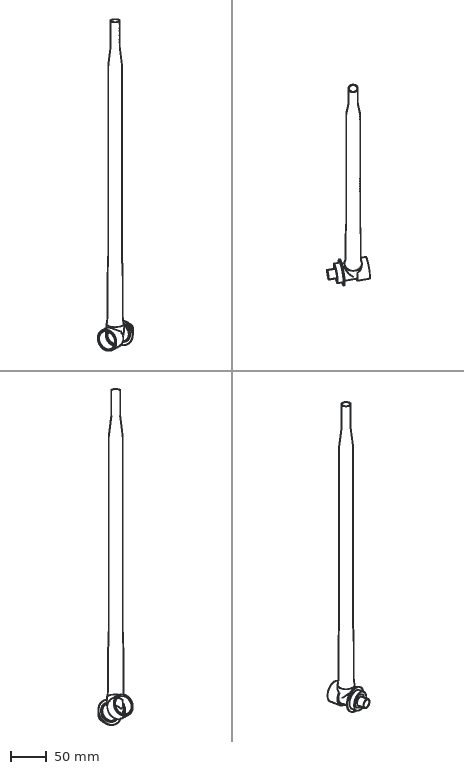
import cadquery as cq

total_height = 486.0
total_depth = 57.0

flange_diameter = 37.0
socket_diameter = 31.0
socket_bore = 26.0
socket_length = 17.5
body_diameter = 25.0
body_bore = 20.5
boss_diameter = 28.0
flange_start = 36.5
flange_thickness = 1.5
boss_end = 45.5
spigot_diameter = 14.0
spigot_bore = 12.0

branch_y = 21.0
branch_clearance = 0.05
branch_diameter = body_diameter - branch_clearance
collar_base_diameter = 24.0
branch_height = 17.5
collar_height = 26.5
sleeve_diameter = 22.0
sleeve_bore = 20.0
tube_diameter = 20.0
tube_bore = 18.0
tip_diameter = 13.0
tip_bore = 11.0
sleeve_taper_start = 104.5
sleeve_taper_end = 136.0
tip_taper_start = 418.5
tip_taper_end = 447.5

fitting_axis_z = flange_diameter / 2


def cylinder_y(diameter, start, end):
    """Cylinder on the fitting axis between two Y positions."""
    plane = cq.Plane(origin=(0, start, fitting_axis_z), xDir=(1, 0, 0), normal=(0, 1, 0))
    return cq.Workplane(plane).circle(diameter / 2).extrude(end - start)


def revolve_upright(profile):
    """Solid of revolution about the upright axis from (diameter, z) steps, bottom to top."""
    bottom_z = profile[0][1]
    top_z = profile[-1][1]
    points = [(0, bottom_z)] + [(diameter / 2, z) for diameter, z in profile] + [(0, top_z)]
    upright_plane = cq.Workplane("XZ", origin=(0, branch_y, 0))
    return upright_plane.polyline(points).close().revolve(360, (0, 0), (0, 1))


def make_fitting():
    fitting = cylinder_y(socket_diameter, 0, socket_length)
    fitting = fitting.union(cylinder_y(body_diameter, socket_length, flange_start))
    fitting = fitting.union(cylinder_y(flange_diameter, flange_start, flange_start + flange_thickness))
    fitting = fitting.union(cylinder_y(boss_diameter, flange_start, boss_end))
    return fitting.union(cylinder_y(spigot_diameter, boss_end, total_depth))


def make_fitting_bore():
    wall = (spigot_diameter - spigot_bore) / 2
    bore = cylinder_y(socket_bore, 0, socket_length)
    bore = bore.union(cylinder_y(body_bore, socket_length, boss_end - wall))
    return bore.union(cylinder_y(spigot_bore, boss_end - wall, total_depth))


def make_upright():
    branch_top = fitting_axis_z + branch_height
    collar_top = fitting_axis_z + collar_height
    return revolve_upright([
        (branch_diameter, fitting_axis_z),
        (branch_diameter, branch_top),
        (collar_base_diameter, branch_top),
        (sleeve_diameter, collar_top),
        (sleeve_diameter, sleeve_taper_start),
        (tube_diameter, sleeve_taper_end),
        (tube_diameter, tip_taper_start),
        (tip_diameter, tip_taper_end),
        (tip_diameter, total_height),
    ])


def make_upright_bore():
    return revolve_upright([
        (sleeve_bore, fitting_axis_z),
        (sleeve_bore, sleeve_taper_start),
        (tube_bore, sleeve_taper_end),
        (tube_bore, tip_taper_start),
        (tip_bore, tip_taper_end),
        (tip_bore, total_height),
    ])


outside = make_fitting().union(make_upright())
result = outside.cut(make_fitting_bore()).cut(make_upright_bore())